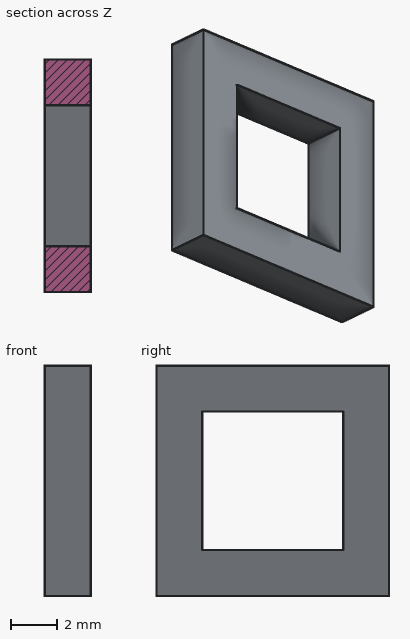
import cadquery as cq

thickness = 2.0
width = 10.1
height = 10.0
wall = 2.0

frame = cq.Workplane("XY").box(thickness, width, height)
window = cq.Workplane("XY").box(thickness, width - 2 * wall, height - 2 * wall)

result = frame.cut(window)